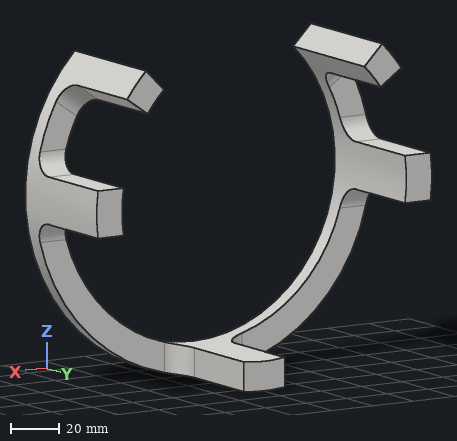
import cadquery as cq
import math

outer_radius = 82.5
wall = 12.5
inner_radius = outer_radius - wall
ring_thickness = 8.0
depth = 55.4
end_angle = 45.2

lug_width = 20.1
root_radius = 9.0
end_lug_sweep = 10.2
end_lug_stock = 16.5


def point(radius, angle):
    """Position in the XZ plane at the given radius and angle."""
    turn = math.radians(angle)
    return radius * math.cos(turn), radius * math.sin(turn)


def open_wall(start_angle, stop_angle):
    """Full-depth ring wall between two angles, growing from Y = 0 towards +Y."""
    middle_angle = (start_angle + stop_angle) / 2
    return (
        cq.Workplane("XZ")
        .moveTo(*point(outer_radius, start_angle))
        .threePointArc(point(outer_radius, middle_angle), point(outer_radius, stop_angle))
        .lineTo(*point(inner_radius, stop_angle))
        .threePointArc(point(inner_radius, middle_angle), point(inner_radius, start_angle))
        .close()
        .extrude(-depth)
    )


def radial_lug(angle, low_side, high_side):
    """Parallel-sided radial bar with concave root fillets.

    The sides are parallel to the radius at the given angle, at the given
    offsets from it (positive towards increasing angle).
    """
    fillet_top = ring_thickness + root_radius
    arc_inset = root_radius * (1 - math.sqrt(0.5))
    arc_middle = ring_thickness + arc_inset
    bar_start = inner_radius / 2
    bar_length = 2 * outer_radius - bar_start
    return (
        cq.Workplane("YZ", origin=(bar_start, 0, 0))
        .moveTo(0, low_side - root_radius)
        .lineTo(ring_thickness, low_side - root_radius)
        .threePointArc((arc_middle, low_side - arc_inset), (fillet_top, low_side))
        .lineTo(depth, low_side)
        .lineTo(depth, high_side)
        .lineTo(fillet_top, high_side)
        .threePointArc((arc_middle, high_side + arc_inset), (ring_thickness, high_side + root_radius))
        .lineTo(0, high_side + root_radius)
        .close()
        .extrude(bar_length)
        .rotate((0, 0, 0), (0, 1, 0), -angle)
    )


stock = cq.Workplane("XZ").circle(2 * outer_radius).extrude(-ring_thickness)

for lug_angle in (180, 270, 360):
    stock = stock.union(radial_lug(lug_angle, -lug_width / 2, lug_width / 2))

stock = stock.union(radial_lug(end_angle - end_lug_sweep, 0, end_lug_stock))
stock = stock.union(radial_lug(180 - end_angle + end_lug_sweep, -end_lug_stock, 0))

result = open_wall(180 - end_angle, 360 + end_angle).intersect(stock).clean()